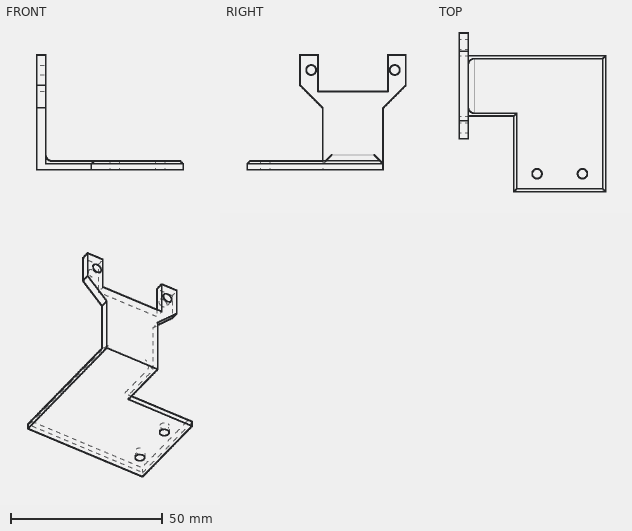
import cadquery as cq

overall_x = 48.4
overall_y = 52.5
overall_z = 38.0
thickness = 3.0

wall_width = 20.0
fork_width = 35.0
arm_width = 6.0
arm_height = 12.0
arm_straight = 10.05
arm_hole_diameter = 3.2
arm_hole_drop = 5.0
arm_hole_spacing = 27.6

foot_start_x = 18.0
edge_chamfer = 1.0
corner_radius = 2.0
base_hole_diameter = 3.15
base_hole_spacing = 15.0
base_hole_edge = 6.0

fork_overhang = (fork_width - wall_width) / 2
wall_back = overall_y - fork_overhang
wall_front = wall_back - wall_width
wall_centre = (wall_back + wall_front) / 2


def base_plate():
    """L-shaped plate blended into the wall, with its upper rim chamfered."""
    outline = [
        (0, wall_front),
        (foot_start_x, wall_front),
        (foot_start_x, 0),
        (overall_x, 0),
        (overall_x, wall_back),
        (0, wall_back),
    ]
    plate = cq.Workplane("XY").polyline(outline).close().extrude(thickness)
    return plate.faces(">Z").edges("not <X").chamfer(edge_chamfer)


def fork_wall():
    """Upright wall that flares at 45 degrees into two drilled arms."""
    flare_top = overall_z - arm_straight
    flare_bottom = flare_top - fork_overhang
    half_wall = wall_width / 2
    half_fork = fork_width / 2
    half_gap = half_fork - arm_width
    notch_floor = overall_z - arm_height
    right_half = [
        (half_wall, 0),
        (half_wall, flare_bottom),
        (half_fork, flare_top),
        (half_fork, overall_z),
        (half_gap, overall_z),
        (half_gap, notch_floor),
    ]
    left_half = [(-y, z) for y, z in reversed(right_half)]
    plane = cq.Plane(origin=(0, wall_centre, 0), xDir=(0, 1, 0), normal=(1, 0, 0))
    wall = cq.Workplane(plane).polyline(right_half + left_half).close().extrude(thickness)
    hole_height = overall_z - arm_hole_drop
    hole_places = [(side * arm_hole_spacing / 2, hole_height) for side in (-1, 1)]
    holes = (
        cq.Workplane(plane).pushPoints(hole_places)
        .circle(arm_hole_diameter / 2).extrude(thickness)
    )
    return wall.cut(holes)


def inside_fillet():
    """Concave strip between wall and plate, its ends sloped in line with the rim chamfer."""
    tip = thickness + corner_radius
    strip = (
        cq.Workplane("XZ", origin=(0, wall_back, 0))
        .moveTo(thickness, thickness)
        .lineTo(thickness + corner_radius, thickness)
        .radiusArc((thickness, tip), corner_radius)
        .close()
        .extrude(wall_width)
    )
    chamfer_foot = thickness - edge_chamfer
    inset = tip - chamfer_foot
    sloped_ends = (
        cq.Workplane("YZ")
        .polyline([
            (wall_front, chamfer_foot),
            (wall_back, chamfer_foot),
            (wall_back - inset, tip),
            (wall_front + inset, tip),
        ])
        .close()
        .extrude(overall_x)
    )
    return strip.intersect(sloped_ends)


def base_holes():
    """Pair of through holes centred across the foot."""
    foot_centre = (foot_start_x + overall_x) / 2
    places = [(foot_centre + side * base_hole_spacing / 2, base_hole_edge) for side in (-1, 1)]
    return cq.Workplane("XY").pushPoints(places).circle(base_hole_diameter / 2).extrude(thickness)


result = base_plate().union(fork_wall()).union(inside_fillet()).cut(base_holes())